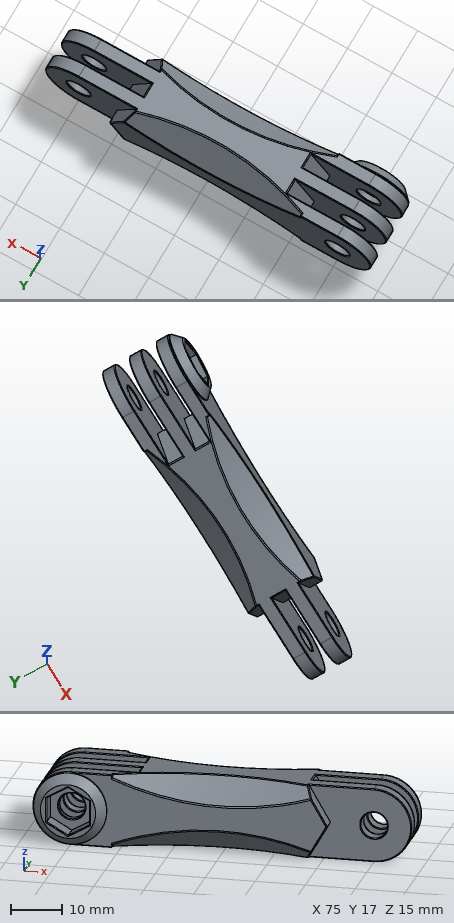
import cadquery as cq
import math

width = 15.0
half = width / 2
hinge_spacing = 60.0
edge_break = 0.19
hole_diameter = 5.3
tolerance = 0.01

fork_finger = 2.85
fork_slot = (width - 3 * fork_finger) / 2
fork_slot_offset = (fork_finger + fork_slot) / 2

tongue_thickness = 2.9
tongue_gap = 3.15
tongue_offset = (tongue_gap + tongue_thickness) / 2

ridge_clearance = 8.7
ridge_drop = half * math.tan(math.radians(30))
body_crest = hinge_spacing - ridge_clearance
body_shoulder = body_crest - ridge_drop
tongue_root = body_shoulder - 2 * edge_break
slot_shoulder = ridge_clearance + ridge_drop

scallop_leg = 4.95
scallop_radius = 80.25
scallop_start = 8.4

seat_height = 2.0
seat_rim = 0.2
seat_radius = half - edge_break
socket_across_flats = 8.55
socket_depth = 3.4


def slab(outline, y_center, thickness):
    """Extrude an XZ outline function symmetrically about a Y position."""
    plane = cq.Workplane("XZ", origin=(0, y_center, 0))
    return outline(plane).extrude(thickness / 2, both=True)


def body_outline(plane):
    """Arm from the rounded fork end to the ridge ahead of the tongue hinge."""
    return (
        plane.moveTo(body_crest, 0)
        .lineTo(body_shoulder, half)
        .lineTo(0, half)
        .threePointArc((-half, 0), (0, -half))
        .lineTo(body_shoulder, -half)
        .close()
    )


def fork_slot_outline(plane):
    """Slot open past the rounded end, with a ridged floor."""
    return plane.polyline([
        (-width, half),
        (slot_shoulder, half),
        (ridge_clearance, 0),
        (slot_shoulder, -half),
        (-width, -half),
    ]).close()


def tongue_outline(plane):
    """Plate rooted in the body and rounded about its hinge."""
    return (
        plane.moveTo(tongue_root, half)
        .lineTo(hinge_spacing, half)
        .threePointArc((hinge_spacing + half, 0), (hinge_spacing, -half))
        .lineTo(tongue_root, -half)
        .close()
    )


def scallop(y_sign, z_sign):
    """Hollow cylindrical cut along one long edge, deepest midway between the hinges."""
    outward = cq.Vector(0, y_sign, z_sign).normalized()
    across = cq.Vector(0, -z_sign, y_sign).normalized()
    floor_distance = (width - scallop_leg) / math.sqrt(2)
    axis_center = cq.Vector(hinge_spacing / 2, 0, 0) + outward * (floor_distance + scallop_radius)
    cylinder = cq.Solid.makeCylinder(scallop_radius, 2 * width, axis_center - across * width, across)
    reach = cq.Workplane("XY").box(
        hinge_spacing, 2 * width, 2 * width, centered=(False, True, True)
    ).translate((scallop_start, 0, 0))
    return reach.intersect(cq.Workplane(cylinder))


def hinge_hole(x):
    return (
        cq.Workplane("XZ", origin=(x, 0, 0))
        .circle(hole_diameter / 2)
        .extrude(width, both=True)
    )


def is_sharp_body_edge(edge):
    """Reject ridge crests, inside corners and the seams where the rounded end turns straight."""
    center = edge.Center()
    is_straight = edge.geomType() == "LINE"
    is_seam = is_straight and abs(center.x) < tolerance
    is_below_surface = max(abs(center.y), abs(center.z)) < half - tolerance
    return not is_seam and not (is_straight and is_below_surface)


body = slab(body_outline, 0, width)
for y_sign in (-1, 1):
    for z_sign in (-1, 1):
        body = body.cut(scallop(y_sign, z_sign))
for side in (-1, 1):
    body = body.cut(slab(fork_slot_outline, side * fork_slot_offset, fork_slot))
body = body.edges().filter(is_sharp_body_edge).chamfer(edge_break)

tongue = slab(tongue_outline, 0, tongue_thickness).cut(hinge_hole(hinge_spacing))
tongue = tongue.faces("|Y").edges().chamfer(edge_break)

seat = (
    cq.Workplane("XZ", origin=(0, -half, 0))
    .circle(seat_radius)
    .extrude(seat_height)
    .faces("<Y").chamfer(seat_height - seat_rim)
)

socket = (
    cq.Workplane("XZ", origin=(0, -half - seat_height, 0))
    .polygon(6, socket_across_flats / math.cos(math.pi / 6))
    .extrude(-socket_depth)
    .rotate((0, 0, 0), (0, 1, 0), 30)
)

fork = body.union(seat).cut(socket).cut(hinge_hole(0))
fork = fork.faces("<Y").edges("%LINE").chamfer(edge_break)
hole_rims = cq.selectors.RadiusNthSelector(0)
fork = fork.edges(hole_rims).chamfer(edge_break)

result = fork
for side in (-1, 1):
    result = result.union(tongue.translate((0, side * tongue_offset, 0)))